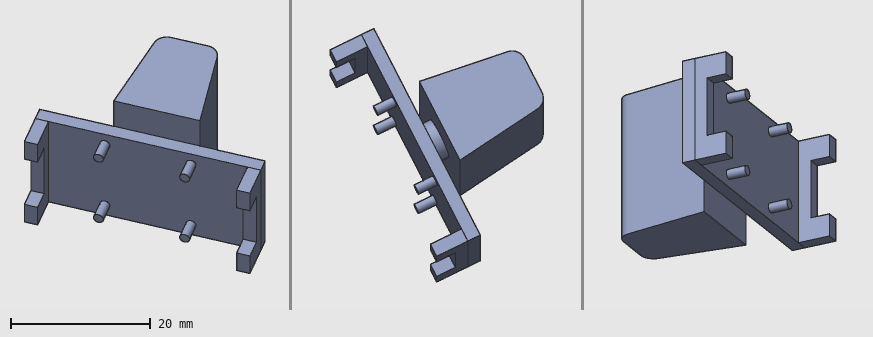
import cadquery as cq

plate_length = 34.0
plate_height = 16.0
plate_thickness = 2.0

bracket_width = 2.0
bracket_depth = 5.0
notch_depth = 3.0
notch_height = 9.0

pin_diameter = 1.5
pin_length = 3.0
pin_spacing_x = 13.0
pin_spacing_z = 12.0

stem_diameter = 6.0
stem_length = 2.0
knob_height = 22.0
knob_base_width = 13.0
knob_tip_width = 9.0
knob_length = 15.0
knob_corner_radius = 2.0

knob_base_y = plate_thickness + stem_length
knob_tip_y = knob_base_y + knob_length


def make_knob_plate():
    """Plate, stem and tapered knob in one piece."""
    plate = cq.Workplane("XY").box(
        plate_length, plate_thickness, plate_height, centered=(True, False, True)
    )
    stem = (
        cq.Workplane("XZ", origin=(0, plate_thickness, 0))
        .circle(stem_diameter / 2)
        .extrude(-stem_length)
    )
    knob = (
        cq.Workplane("XY")
        .polyline([
            (-knob_base_width / 2, knob_base_y),
            (knob_base_width / 2, knob_base_y),
            (knob_tip_width / 2, knob_tip_y),
            (-knob_tip_width / 2, knob_tip_y),
        ])
        .close()
        .extrude(knob_height / 2, both=True)
        .edges("|Z and >Y")
        .fillet(knob_corner_radius)
    )
    return plate.union(stem).union(knob)


def make_bracket(center_x):
    """C-shaped end bracket with its notch open to -Y."""
    block = cq.Workplane("XY").box(bracket_width, bracket_depth, plate_height)
    notch = (
        cq.Workplane("XY")
        .box(bracket_width, notch_depth, notch_height)
        .translate((0, (notch_depth - bracket_depth) / 2, 0))
    )
    return block.cut(notch).translate((center_x, -bracket_depth / 2, 0))


def make_pin(x, z):
    """Round pin standing on the -Y face of the plate."""
    return cq.Workplane("XZ", origin=(x, 0, z)).circle(pin_diameter / 2).extrude(pin_length)


knob_plate = make_knob_plate()

bracket_x = (plate_length - bracket_width) / 2
brackets = [make_bracket(side * bracket_x) for side in (-1, 1)]

pins = [
    make_pin(side_x * pin_spacing_x / 2, side_z * pin_spacing_z / 2)
    for side_x in (-1, 1)
    for side_z in (-1, 1)
]

result = cq.Compound.makeCompound(
    [knob_plate.val()]
    + [bracket.val() for bracket in brackets]
    + [pin.val() for pin in pins]
)